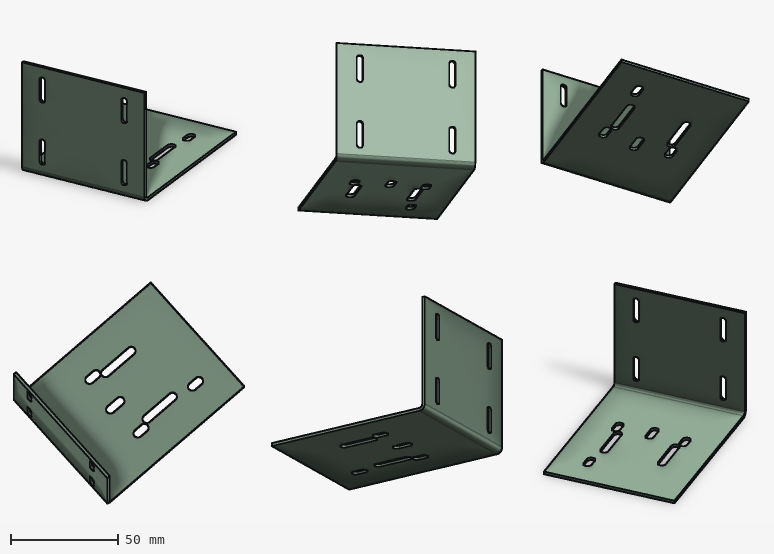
import cadquery as cq

width = 66.0
depth = 85.0
height = 56.6
thickness = 1.5
outer_bend_radius = 3.0
inner_bend_radius = outer_bend_radius - thickness

wall_slot_width = 3.0
wall_slot_length = 13.0
wall_slot_spacing_x = 44.0
wall_slot_spacing_z = 32.0
lower_wall_slot_z = 12.9

base_slot_width = 4.0
short_slot_length = 8.0
short_slot_x = 17.0
front_short_slot_y = 35.0
rear_short_slot_y = 68.8
middle_slot_length = 10.0
middle_slot_y = 34.0
long_slot_length = 20.0
long_slot_x = 14.5
long_slot_y = 48.7


def bent_sheet():
    """L-shaped sheet, centred on X, with concentric inner and outer bends."""
    block = cq.Workplane("XY").box(width, depth, height, centered=(True, False, False))
    block = block.edges("<Y and <Z").fillet(outer_bend_radius)
    inside = (
        cq.Workplane("XY")
        .box(width, depth - thickness, height - thickness, centered=(True, False, False))
        .edges("<Y and <Z")
        .fillet(inner_bend_radius)
        .translate((0, thickness, thickness))
    )
    return block.cut(inside)


def base_slots(points, length):
    """Cutters through the base, with their long direction along Y."""
    return (
        cq.Workplane("XY")
        .pushPoints(points)
        .slot2D(length, base_slot_width, 90)
        .extrude(thickness)
    )


def wall_slots():
    """Cutters through the wall, with their long direction along Z."""
    slot_x = wall_slot_spacing_x / 2
    points = [
        (x, z)
        for x in (-slot_x, slot_x)
        for z in (lower_wall_slot_z, lower_wall_slot_z + wall_slot_spacing_z)
    ]
    return (
        cq.Workplane("XZ")
        .pushPoints(points)
        .slot2D(wall_slot_length, wall_slot_width, 90)
        .extrude(-thickness)
    )


short_slot_centres = [
    (-short_slot_x, front_short_slot_y),
    (short_slot_x, front_short_slot_y),
    (short_slot_x, rear_short_slot_y),
]
long_slot_centres = [(-long_slot_x, long_slot_y), (long_slot_x, long_slot_y)]

result = (
    bent_sheet()
    .cut(wall_slots())
    .cut(base_slots(short_slot_centres, short_slot_length))
    .cut(base_slots([(0, middle_slot_y)], middle_slot_length))
    .cut(base_slots(long_slot_centres, long_slot_length))
)